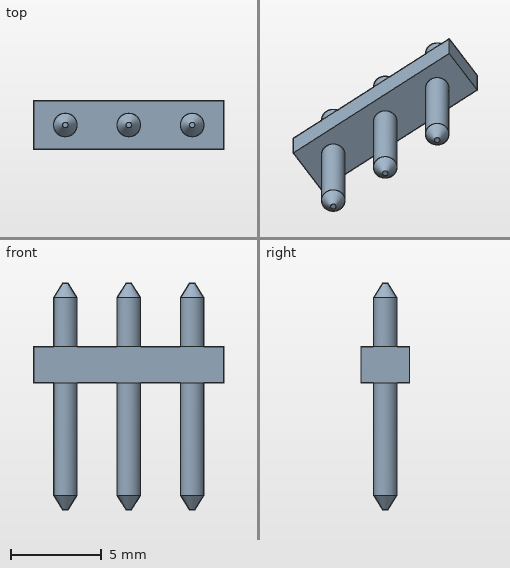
import cadquery as cq

pin_count = 3
pitch = 3.5
block_length = pin_count * pitch
block_width = 2.7
block_height = 2.0

pin_length = 12.5
pin_diameter = 1.3
tip_diameter = 0.3
taper_length = 0.8
block_bottom = 7.0


def make_pin(x):
    """Vertical pin at x, tapering to a small flat at both ends."""
    pin_radius = pin_diameter / 2
    tip_radius = tip_diameter / 2
    half_profile = (
        cq.Workplane("XZ")
        .moveTo(0, 0)
        .lineTo(tip_radius, 0)
        .lineTo(pin_radius, taper_length)
        .lineTo(pin_radius, pin_length - taper_length)
        .lineTo(tip_radius, pin_length)
        .lineTo(0, pin_length)
        .close()
    )
    return half_profile.revolve(360, (0, 0), (0, 1)).translate((x, 0, 0))


result = (
    cq.Workplane("XY")
    .workplane(offset=block_bottom)
    .box(block_length, block_width, block_height, centered=(True, True, False))
)

for index in range(pin_count):
    pin_x = (index - (pin_count - 1) / 2) * pitch
    result = result.union(make_pin(pin_x))